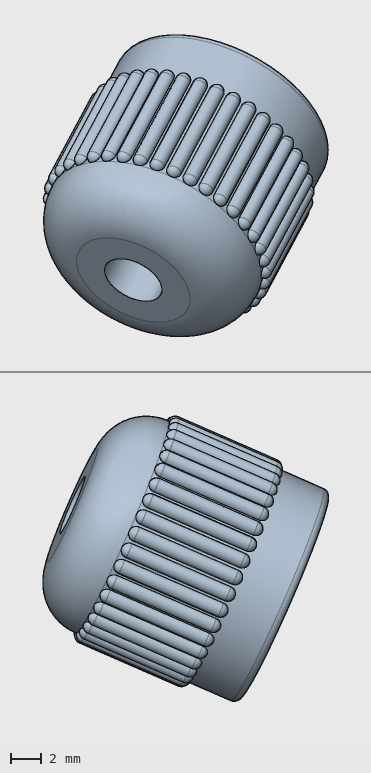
import math

import cadquery as cq

overall_diameter = 16.0
body_diameter = 15.0
body_radius = body_diameter / 2
body_length = body_diameter
front_face = -body_length / 2
front_flat_diameter = 8.0
front_round = (body_diameter - front_flat_diameter) / 2
bore_diameter = 4.03

rib_count = 40
rib_radius = (overall_diameter - body_diameter) / 2
rib_length = 8.0

rear_round = rib_radius


def build_cylinder(diameter):
    """Cylinder along Y over the whole length of the body."""
    return (
        cq.Workplane("XZ", origin=(0, front_face, 0))
        .circle(diameter / 2)
        .extrude(-body_length)
    )


def build_blank():
    """Plain body with a large round at the front and a small one at the rear."""
    blank = build_cylinder(body_diameter)
    blank = blank.faces("<Y").edges().fillet(front_round)
    return blank.faces(">Y").edges().fillet(rear_round)


def build_rib(angle):
    """One ball-ended bar, revolved about its own axis and set at the given angle."""
    half_length = rib_length / 2
    straight_half = half_length - rib_radius
    arc_offset = rib_radius * math.sqrt(0.5)
    rib = (
        cq.Workplane("XY")
        .moveTo(0, -half_length)
        .threePointArc((arc_offset, -straight_half - arc_offset), (rib_radius, -straight_half))
        .lineTo(rib_radius, straight_half)
        .threePointArc((arc_offset, straight_half + arc_offset), (0, half_length))
        .close()
        .revolve(360, (0, 0, 0), (0, 1, 0))
    )
    return rib.translate((body_radius, 0, 0)).rotate((0, 0, 0), (0, 1, 0), angle)


def build_knob():
    """Body with its ring of ribs and a plain bore right through the axis."""
    rib_pitch = 360 / rib_count
    ribs = [build_rib(index * rib_pitch).val() for index in range(rib_count)]
    ribbed_body = cq.Workplane(build_blank().val().fuse(*ribs))
    return ribbed_body.cut(build_cylinder(bore_diameter)).solids()


knob = build_knob()

result = cq.Compound.makeCompound([knob.val()])